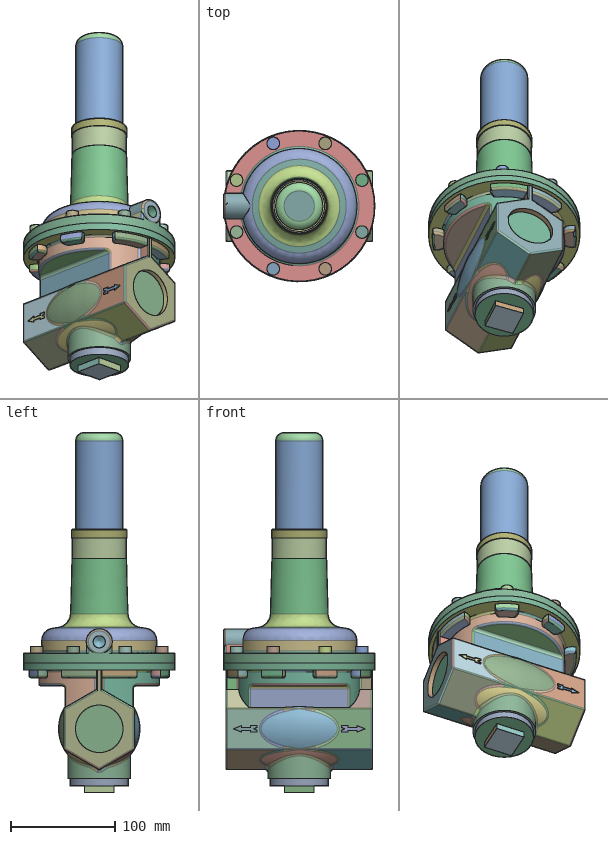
import cadquery as cq
import math


port_length = 140.4
hex_flats = 68.0
hex_corners = hex_flats / math.cos(math.radians(30))
hex_edge_radius = 1.5
port_diameter = 45.5
port_depth = 5.0

bulge_radius = 39.0
bulge_length = 76.0
bulge_end_radius = 33.8
bulge_blend = 6.0

arrow_tip_x = 63.0
arrow_head_length = 7.5
arrow_length = 22.5
arrow_half_width = 3.0
arrow_shaft_half_width = 1.4
arrow_tail_length = 6.0
arrow_depth = 0.5

boss_radius = 30.0
boss_bottom = -47.6
boss_blend = 3.0
plug_radius = 28.0
plug_bottom = -54.7
plug_head_width = 28.6
plug_head_bottom = -61.2

flange_radius = 72.5
flange_chamfer = 0.6
lower_flange_bottom = 56.3
flange_joint = 63.2
upper_flange_top = 72.6
chamber_radius = 58.0
chamber_bottom = 41.2
chamber_blend = 2.0
neck_width = 65.2
neck_blend = 3.0
neck_edge_fillet = 2.0
rib_thickness = 5.0
rib_edge_chamfer = 1.0
rib_blend = 2.0

bolt_count = 8
bolt_circle_radius = 65.0
first_bolt_angle = 180.0 / bolt_count
bolt_head_diameter = 12.0
bolt_head_height = 6.4
pad_radius = 11.5
pad_bottom = 48.8
pad_fillet = 2.0
pad_outer_limit = 69.0

dome_radius = 55.2
dome_top = 98.9
dome_slope_drop = 4.1
dome_slope_radius = 28.0
dome_shoulder_fillet = 12.0
dome_base_fillet = 2.0
neck_fillet = 13.0
tower_top_radius = 26.3
tower_top = 163.0
band_radius = 26.0
band_top = 183.0
collar_radius = 26.6
collar_top = 191.2
collar_chamfer = 1.0
socket_radius = 24.2
socket_depth = 1.5

sensing_z = 83.3
sensing_radius = 12.5
sensing_end_fillet = 2.0
pedestal_width = 24.4
sensing_hole_diameter = 11.6
sensing_hole_depth = 12.0
drill_half_angle = math.radians(59)

tube_radius = 22.6
tube_top = 283.8
tube_top_fillet = 8.0


def cylinder(radius, bottom, top):
    return cq.Workplane("XY").workplane(offset=bottom).circle(radius).extrude(top - bottom)


def ring_edges(radius, height):
    """Selector for edges at the given height that lie within the given radius of Z."""
    reach = radius + 1
    return cq.selectors.BoxSelector(
        (-reach, -reach, height - 0.5), (reach, reach, height + 0.5), boundingbox=True
    )


def bolt_positions(workplane):
    return workplane.polarArray(bolt_circle_radius, first_bolt_angle, 360, bolt_count)


def make_hex_port():
    return (
        cq.Workplane("YZ")
        .polygon(6, hex_corners)
        .extrude(port_length / 2, both=True)
        .rotate((0, 0, 0), (1, 0, 0), 90)
        .edges()
        .fillet(hex_edge_radius)
    )


def make_bulge():
    half_length = bulge_length / 2
    return (
        cq.Workplane("XY")
        .moveTo(-half_length, 0)
        .lineTo(-half_length, bulge_end_radius)
        .threePointArc((0, bulge_radius), (half_length, bulge_end_radius))
        .lineTo(half_length, 0)
        .close()
        .revolve(360, (0, 0, 0), (1, 0, 0))
    )


def make_port_section():
    """Hexagon with its bulge and the round boss below, blended together."""
    half_length = bulge_length / 2
    around_bulge = cq.selectors.BoxSelector(
        (-half_length, -hex_corners, -hex_corners), (half_length, hex_corners, hex_corners), boundingbox=True
    )
    section = make_hex_port().union(make_bulge()).edges(around_bulge).fillet(bulge_blend)
    around_boss = cq.selectors.BoxSelector(
        (-boss_radius - 1, -boss_radius - 1, boss_bottom + 1),
        (boss_radius + 1, boss_radius + 1, -hex_flats / 4),
        boundingbox=True,
    )
    boss = cylinder(boss_radius, boss_bottom, -hex_flats / 8)
    return section.union(boss).edges(around_boss).fillet(boss_blend)


def make_chamber():
    """Round chamber whose lower part is narrowed in Y to the neck width."""
    half_neck = neck_width / 2
    blend_middle = neck_blend * (1 - math.sqrt(0.5))
    half_profile = (
        cq.Workplane("YZ")
        .moveTo(0, 0)
        .lineTo(half_neck, 0)
        .lineTo(half_neck, chamber_bottom - neck_blend)
        .threePointArc(
            (half_neck + blend_middle, chamber_bottom - blend_middle),
            (half_neck + neck_blend, chamber_bottom),
        )
        .lineTo(flange_radius, chamber_bottom)
        .lineTo(flange_radius, lower_flange_bottom)
        .lineTo(0, lower_flange_bottom)
        .close()
        .extrude(port_length / 2, both=True)
    )
    profile = half_profile.union(half_profile.mirror("XZ"))
    chamber = profile.intersect(cylinder(chamber_radius, 0, lower_flange_bottom))
    return chamber.edges("|Z").fillet(neck_edge_fillet)


def make_ribbed_chamber():
    """Chamber with a blended rib standing on the ridge at each end of the port."""
    chamber = make_chamber().union(make_rib())
    for side in (-1, 1):
        root = cq.selectors.BoxSelector(
            (side * (chamber_radius - 1), -rib_thickness, 0),
            (side * (chamber_radius + 1), rib_thickness, lower_flange_bottom),
        )
        chamber = chamber.edges("|Z").edges(root).fillet(rib_blend)
    return chamber


def make_lower_flange():
    """Flange with a fillet down to the chamber wall."""
    collar = cylinder(chamber_radius, chamber_bottom + neck_blend, lower_flange_bottom)
    flange = cylinder(flange_radius, lower_flange_bottom, flange_joint).union(collar)
    return flange.edges(ring_edges(chamber_radius, lower_flange_bottom)).fillet(chamber_blend)


def make_rib():
    rib = cq.Workplane("XY").box(
        port_length, rib_thickness, lower_flange_bottom, centered=(True, True, False)
    )
    return rib.edges("|Z").chamfer(rib_edge_chamfer)


def make_pads():
    height = lower_flange_bottom - pad_bottom
    base = cq.Workplane("XY").workplane(offset=pad_bottom)
    pads = bolt_positions(base).circle(pad_radius).extrude(height)
    pad_spacing = 2 * bolt_circle_radius * math.sin(math.radians(first_bolt_angle))
    web = cq.Workplane("XY").workplane(offset=pad_bottom)
    web = web.rect(2 * pad_outer_limit, pad_spacing).extrude(height)
    pads = pads.union(web).intersect(cylinder(pad_outer_limit, pad_bottom, lower_flange_bottom))
    return pads.faces("<Z").edges().fillet(pad_fillet)


def make_arrow(direction):
    """Cutter for an arrow on the side flats, pointing along direction * X."""
    head_x = arrow_tip_x - arrow_head_length
    end_x = arrow_tip_x - arrow_length
    tail_x = end_x + arrow_tail_length
    upper = [
        (arrow_tip_x, 0),
        (head_x, arrow_half_width),
        (head_x, arrow_shaft_half_width),
        (tail_x, arrow_shaft_half_width),
        (tail_x, arrow_half_width),
        (end_x, arrow_half_width),
        (end_x, arrow_shaft_half_width),
        (tail_x - arrow_tail_length / 2, 0),
    ]
    lower = [(x, -z) for x, z in upper[-2:0:-1]]
    outline = [(direction * x, z) for x, z in upper + lower]
    through = cq.Workplane("XZ").polyline(outline).close().extrude(hex_flats, both=True)
    core = cq.Workplane("XY").box(port_length, hex_flats - 2 * arrow_depth, hex_flats)
    return through.cut(core)


def make_valve_body():
    body = make_port_section()
    body = body.union(cylinder(plug_radius, plug_bottom, boss_bottom))
    plug_head = cq.Workplane("XY").workplane(offset=plug_head_bottom)
    plug_head = plug_head.rect(plug_head_width, plug_head_width).extrude(plug_bottom - plug_head_bottom)
    body = body.union(plug_head)
    body = body.union(make_ribbed_chamber()).union(make_pads())
    body = body.union(make_lower_flange())
    for direction in (-1, 1):
        bore = (
            cq.Workplane("YZ")
            .workplane(offset=direction * port_length / 2)
            .circle(port_diameter / 2)
            .extrude(-direction * port_depth)
        )
        body = body.cut(bore).cut(make_arrow(direction))
    return body


def make_dome():
    slope_end_z = dome_top - dome_slope_drop
    dome = (
        cq.Workplane("XZ")
        .polyline(
            [
                (0, flange_joint),
                (flange_radius, flange_joint),
                (flange_radius, upper_flange_top - flange_chamfer),
                (flange_radius - flange_chamfer, upper_flange_top),
                (dome_radius, upper_flange_top),
                (dome_radius, slope_end_z),
                (dome_slope_radius, dome_top),
                (tower_top_radius, tower_top),
                (band_radius, tower_top),
                (band_radius, band_top),
                (collar_radius, band_top),
                (collar_radius, collar_top - collar_chamfer),
                (collar_radius - collar_chamfer, collar_top),
                (socket_radius, collar_top),
                (socket_radius, collar_top - socket_depth),
                (0, collar_top - socket_depth),
            ]
        )
        .close()
        .revolve(360, (0, 0, 0), (0, 1, 0))
    )
    for radius, height, fillet in (
        (dome_radius, upper_flange_top, dome_base_fillet),
        (dome_radius, slope_end_z, dome_shoulder_fillet),
        (dome_slope_radius, dome_top, neck_fillet),
    ):
        dome = dome.edges(ring_edges(radius, height)).fillet(fillet)
    return dome


def make_sensing_boss():
    """Round boss with a pedestal beneath it that follows the flange rim."""
    boss = cq.Workplane("YZ").center(0, sensing_z).circle(sensing_radius).extrude(-flange_radius)
    boss = boss.faces("<X").edges().fillet(sensing_end_fillet)
    pedestal = (
        cq.Workplane("XY")
        .workplane(offset=flange_joint)
        .center(-flange_radius / 2, 0)
        .rect(flange_radius, pedestal_width)
        .extrude(sensing_z - flange_joint)
        .intersect(cylinder(flange_radius, flange_joint, sensing_z))
    )
    outer_half = cq.selectors.BoxSelector(
        (-flange_radius, -flange_radius, flange_joint), (-flange_radius / 2, flange_radius, sensing_z)
    )
    pedestal = pedestal.edges("|Z").edges(outer_half).fillet(sensing_end_fillet)
    return boss.union(pedestal)


def make_sensing_hole():
    radius = sensing_hole_diameter / 2
    floor_x = sensing_hole_depth - flange_radius
    tip_x = floor_x + radius / math.tan(drill_half_angle)
    return (
        cq.Workplane("XZ")
        .polyline(
            [
                (-flange_radius, sensing_z),
                (-flange_radius, sensing_z + radius),
                (floor_x, sensing_z + radius),
                (tip_x, sensing_z),
            ]
        )
        .close()
        .revolve(360, (0, sensing_z, 0), (1, sensing_z, 0))
    )


def make_bonnet():
    bonnet = make_dome().union(make_sensing_boss())
    heads = bolt_positions(cq.Workplane("XY").workplane(offset=upper_flange_top))
    heads = heads.circle(bolt_head_diameter / 2).extrude(bolt_head_height)
    return bonnet.union(heads).cut(make_sensing_hole())


def make_spring_tube():
    tube = cylinder(tube_radius, collar_top - socket_depth, tube_top)
    return tube.faces(">Z").edges().fillet(tube_top_fillet)


valve_body = make_valve_body()
bonnet = make_bonnet()
spring_tube = make_spring_tube()

result = cq.Compound.makeCompound([valve_body.val(), bonnet.val(), spring_tube.val()])